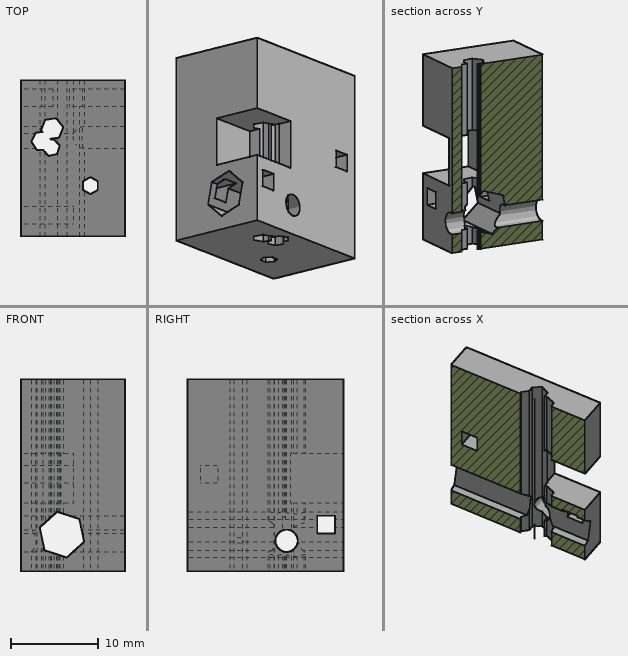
import cadquery as cq

LENGTH_X = 11.96
LENGTH_Y = 17.98
LENGTH_Z = 22.1

VERTICAL_HEXAGONS = [
    (3.58, 12.38, 1.28, 8),
    (2.35, 10.97, 1.15, 4),
    (3.47, 10.21, 1.0, 13),
    (7.98, 5.84, 0.97, 30),
]

CROSS_HEXAGON_X = 4.7
CROSS_HEXAGON_Z = 4.22
CROSS_HEXAGON_RADIUS = 2.68
CROSS_HEXAGON_ROTATION = 42

NOTCH_DEPTH = LENGTH_X / 2
NOTCH_LENGTH = 6.12
NOTCH_BOTTOM = 7.92
NOTCH_HEIGHT = 5.65

SQUARE_SIDE = 2.01
THROUGH_SQUARE_Y = 14.95
THROUGH_SQUARE_Z = 4.38
BLIND_SQUARE_Y = 1.45
BLIND_SQUARE_Z = 10.17
BLIND_SQUARE_DEPTH = NOTCH_DEPTH

ROUND_HOLE_DIAMETER = 2.55
ROUND_HOLE_Y = 11.4
ROUND_HOLE_Z = 3.52


def hexagonal_prism(plane, radius, rotation, length):
    """Regular prism along the plane normal, with a corner at the given rotation."""
    return cq.Workplane(plane.rotated((0, 0, rotation))).polygon(6, 2 * radius).extrude(length)


def box_from_left_face(y, z, depth, width, height):
    """Box cut inwards from the -X face, starting at its lowest y and z."""
    return cq.Workplane("XY").box(depth, width, height, centered=False).translate((0, y, z))


result = cq.Workplane("XY").box(LENGTH_X, LENGTH_Y, LENGTH_Z, centered=False)

for x, y, radius, rotation in VERTICAL_HEXAGONS:
    base = cq.Plane(origin=(x, y, 0))
    result = result.cut(hexagonal_prism(base, radius, rotation, LENGTH_Z))

back_plane = cq.Plane.named("XZ", origin=(CROSS_HEXAGON_X, LENGTH_Y, CROSS_HEXAGON_Z))
result = result.cut(
    hexagonal_prism(back_plane, CROSS_HEXAGON_RADIUS, CROSS_HEXAGON_ROTATION, LENGTH_Y)
)

result = result.cut(
    box_from_left_face(THROUGH_SQUARE_Y, THROUGH_SQUARE_Z, LENGTH_X, SQUARE_SIDE, SQUARE_SIDE)
)
result = result.cut(
    box_from_left_face(BLIND_SQUARE_Y, BLIND_SQUARE_Z, BLIND_SQUARE_DEPTH, SQUARE_SIDE, SQUARE_SIDE)
)

round_hole = (
    cq.Workplane("YZ")
    .center(ROUND_HOLE_Y, ROUND_HOLE_Z)
    .circle(ROUND_HOLE_DIAMETER / 2)
    .extrude(LENGTH_X)
)
result = result.cut(round_hole)

result = result.cut(
    box_from_left_face(LENGTH_Y - NOTCH_LENGTH, NOTCH_BOTTOM, NOTCH_DEPTH, NOTCH_LENGTH, NOTCH_HEIGHT)
)